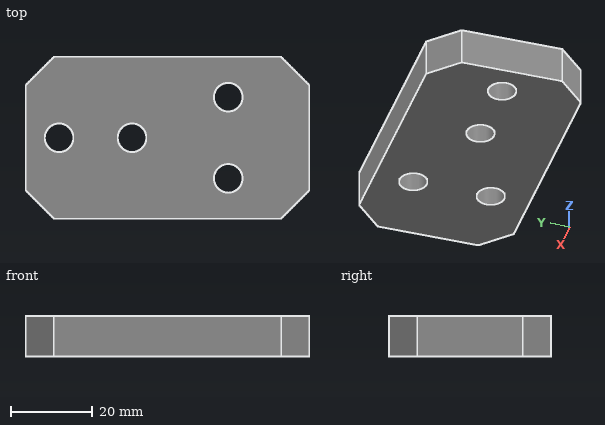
import cadquery as cq

length = 70.0
width = 40.0
thickness = 10.0
corner_chamfer = 7.0

hole_diameter = 7.0
end_hole_x = -26.75
inner_hole_x = -8.75
pair_x = 15.0
pair_spacing = 20.0

hole_centers = [
    (end_hole_x, 0),
    (inner_hole_x, 0),
    (pair_x, pair_spacing / 2),
    (pair_x, -pair_spacing / 2),
]

plate = cq.Workplane("XY").box(length, width, thickness).edges("|Z").chamfer(corner_chamfer)

result = plate.faces(">Z").workplane().pushPoints(hole_centers).hole(hole_diameter)